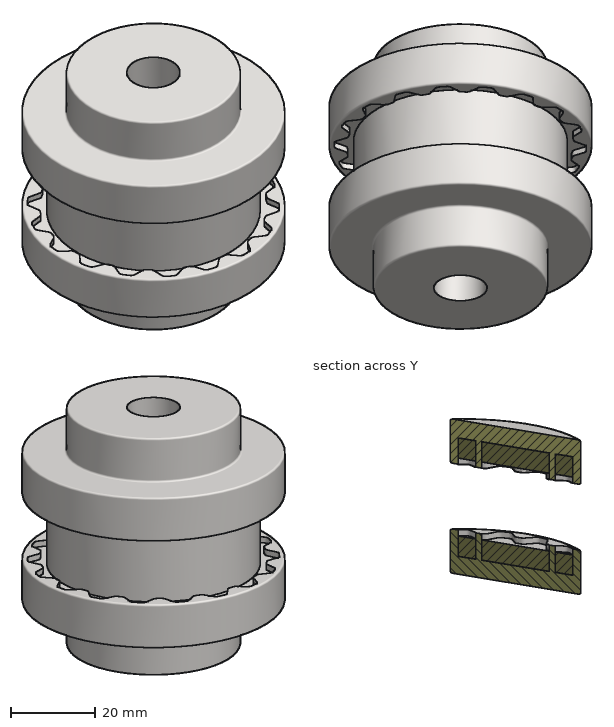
import cadquery as cq
import math

OVERALL_HEIGHT = 60.4
BORE_DIAMETER = 12.6
EDGE_RADIUS = 0.5

FLANGE_DIAMETER = 62.5
FLANGE_THICKNESS = 11.05
BOSS_DIAMETER = 41.4
BOSS_HEIGHT = 11.05

SLEEVE_DIAMETER = 50.8
TOOTH_COUNT = 18
TOOTH_TIP_RADIUS = 29.95
TOOTH_ROOT_RADIUS = 27.05
TIP_HALF_ANGLE = 3.0
ROOT_GAP_HALF_ANGLE = 2.2
TOOTH_CORNER_RADIUS = 1.25
TOOTH_LENGTH = 5.0
TOOTH_SETBACK = 1.5

HUB_OUTER_LEVEL = OVERALL_HEIGHT / 2
FLANGE_OUTER_LEVEL = HUB_OUTER_LEVEL - BOSS_HEIGHT
FLANGE_INNER_LEVEL = FLANGE_OUTER_LEVEL - FLANGE_THICKNESS
TOOTH_INNER_LEVEL = FLANGE_INNER_LEVEL + TOOTH_SETBACK
SOCKET_FLOOR_LEVEL = TOOTH_INNER_LEVEL + TOOTH_LENGTH


def polar_point(radius, angle):
    """Point at a radius and an angle in degrees about the axis."""
    turn = math.radians(angle)
    return (radius * math.cos(turn), radius * math.sin(turn))


def cylinder(diameter, bottom, top):
    """Cylinder on the coupling axis between two levels."""
    return cq.Workplane("XY").workplane(offset=bottom).circle(diameter / 2).extrude(top - bottom)


def toothed_prism(bottom, top):
    """Wavy toothed disc between two levels, shared by the teeth and their sockets."""
    pitch = 360 / TOOTH_COUNT
    root_start = pitch / 2 - ROOT_GAP_HALF_ANGLE
    root_end = pitch / 2 + ROOT_GAP_HALF_ANGLE
    outline = (
        cq.Workplane("XY")
        .workplane(offset=bottom)
        .moveTo(*polar_point(TOOTH_TIP_RADIUS, -TIP_HALF_ANGLE))
    )
    for tooth in range(TOOTH_COUNT):
        centre = tooth * pitch
        outline = (
            outline.threePointArc(
                polar_point(TOOTH_TIP_RADIUS, centre),
                polar_point(TOOTH_TIP_RADIUS, centre + TIP_HALF_ANGLE),
            )
            .lineTo(*polar_point(TOOTH_ROOT_RADIUS, centre + root_start))
            .threePointArc(
                polar_point(TOOTH_ROOT_RADIUS, centre + pitch / 2),
                polar_point(TOOTH_ROOT_RADIUS, centre + root_end),
            )
            .lineTo(*polar_point(TOOTH_TIP_RADIUS, centre + pitch - TIP_HALF_ANGLE))
        )
    return outline.close().extrude(top - bottom).edges("|Z").fillet(TOOTH_CORNER_RADIUS)


def make_upper_hub():
    """Flange and boss with rounded edges, a toothed socket below and a through bore."""
    flange = cylinder(FLANGE_DIAMETER, FLANGE_INNER_LEVEL, FLANGE_OUTER_LEVEL)
    boss = cylinder(BOSS_DIAMETER, FLANGE_OUTER_LEVEL, HUB_OUTER_LEVEL)
    blank = flange.union(boss).edges("%CIRCLE").fillet(EDGE_RADIUS)
    socket = toothed_prism(FLANGE_INNER_LEVEL, SOCKET_FLOOR_LEVEL)
    bore = cylinder(BORE_DIAMETER, FLANGE_INNER_LEVEL, HUB_OUTER_LEVEL)
    return blank.cut(socket).cut(bore)


def make_sleeve():
    """Plain middle joined to the two tooth rings, bored right through."""
    middle = cylinder(SLEEVE_DIAMETER, -TOOTH_INNER_LEVEL, TOOTH_INNER_LEVEL)
    upper_teeth = toothed_prism(TOOTH_INNER_LEVEL, SOCKET_FLOOR_LEVEL)
    lower_teeth = upper_teeth.mirror("XY")
    bore = cylinder(BORE_DIAMETER, -SOCKET_FLOOR_LEVEL, SOCKET_FLOOR_LEVEL)
    return middle.union(upper_teeth).union(lower_teeth).cut(bore)


hubs = []
for turn_over in (False, True):
    hub = make_upper_hub()
    if turn_over:
        hub = hub.mirror("XY")
    hubs.append(hub.val())

sleeve = make_sleeve()

result = cq.Compound.makeCompound([*hubs, sleeve.val()])